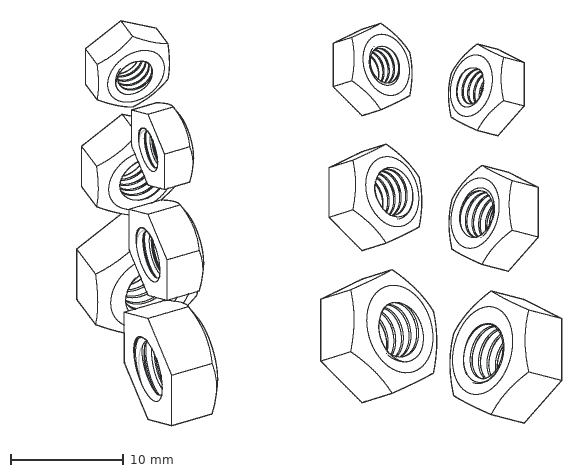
import cadquery as cq
import math

total_height = 34.8
column_spacing = 15.0
large_to_medium = 13.02

large = {"flats": 10.0, "height": 5.0, "bore": 6.0, "pitch": 1.0, "thread_start": 135.0}
medium = {"flats": 8.0, "height": 4.0, "bore": 5.0, "pitch": 0.8, "thread_start": 180.0}
small = {"flats": 7.0, "height": 3.2, "bore": 4.0, "pitch": 0.7, "thread_start": 180.0}

face_circle_ratio = 0.8
corner_angle = 30.0
flank_angle = 30.0
root_width_ratio = 1 / 8
crest_width_ratio = 1 / 4
countersink_margin = 0.017
overrun = 0.35


def corner_radius(size):
    return size["flats"] / math.sqrt(3)


def groove_depth(pitch):
    flank_run = (1 - root_width_ratio - crest_width_ratio) * pitch / 2
    return flank_run / math.tan(math.radians(flank_angle))


def hexagon_blank(size):
    """Hexagonal prism along +Z with two corners on the Y axis, bevelled at its top corners."""
    height = size["height"]
    corner = corner_radius(size)
    prism = cq.Workplane("XY").polygon(6, 2 * corner).extrude(height).rotate((0, 0, 0), (0, 0, 1), 90)
    face_radius = face_circle_ratio * size["flats"] / 2
    bevel_drop = (corner - face_radius) * math.tan(math.radians(corner_angle))
    envelope = (
        cq.Workplane("XZ")
        .moveTo(0, 0)
        .lineTo(corner, 0)
        .lineTo(corner, height - bevel_drop)
        .lineTo(face_radius, height)
        .lineTo(0, height)
        .close()
        .revolve(360, (0, 0, 0), (0, 1, 0))
    )
    return prism.intersect(envelope)


def thread_groove(size):
    """Helical groove that runs one pitch past both ends of the nut."""
    pitch = size["pitch"]
    depth = groove_depth(pitch)
    root_radius = size["bore"] / 2
    clearance = depth / 10
    inner_radius = root_radius - depth - clearance
    half_root = root_width_ratio * pitch / 2
    half_mouth = half_root + (depth + clearance) * math.tan(math.radians(flank_angle))
    path = cq.Wire.makeHelix(pitch, size["height"] + 2 * pitch, inner_radius)
    groove = (
        cq.Workplane("XZ")
        .moveTo(inner_radius, -half_mouth)
        .lineTo(root_radius, -half_root)
        .lineTo(root_radius, half_root)
        .lineTo(inner_radius, half_mouth)
        .close()
        .sweep(cq.Workplane(path), isFrenet=True)
    )
    return groove.rotate((0, 0, 0), (0, 0, 1), size["thread_start"]).translate((0, 0, -pitch))


def bore(size):
    """Round bore at the thread crest, opening at the bottom face in a 45 degree countersink."""
    mouth_radius = size["bore"] / 2 + countersink_margin
    crest_radius = size["bore"] / 2 - groove_depth(size["pitch"])
    top = size["height"] + overrun
    return (
        cq.Workplane("XZ")
        .moveTo(0, -overrun)
        .lineTo(mouth_radius + overrun, -overrun)
        .lineTo(crest_radius, mouth_radius - crest_radius)
        .lineTo(crest_radius, top)
        .lineTo(0, top)
        .close()
        .revolve(360, (0, 0, 0), (0, 1, 0))
    )


def nut(size):
    """Threaded hexagon nut standing on its bearing face, axis along +Z."""
    return hexagon_blank(size).cut(thread_groove(size)).cut(bore(size))


axis_heights = [
    corner_radius(large),
    corner_radius(large) + large_to_medium,
    total_height - corner_radius(small),
]

bodies = []
for size, axis_height in zip([large, medium, small], axis_heights):
    half_flats = size["flats"] / 2
    upright = nut(size)
    y_nut = upright.rotate((0, 0, 0), (1, 0, 0), -90)
    x_nut = y_nut.rotate((0, 0, 0), (0, 0, 1), -90)
    bodies.append(y_nut.translate((column_spacing, 0, axis_height)).val())
    bodies.append(x_nut.translate((large["height"] - size["height"], half_flats, axis_height)).val())

result = cq.Compound.makeCompound(bodies)